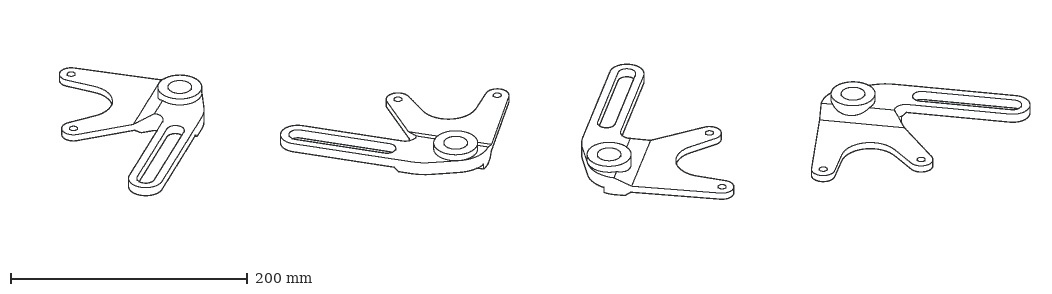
import cadquery as cq
import math


bore_radius = 10.0
boss_radius = 18.6
boss_top = 23.0

lug_circle_radius = 100.0
lug_spacing = 84.0
fork_direction = math.radians(200.0)
lug_radius = 10.0
lug_hole_radius = 3.4

notch_radius = 24.7
notch_distance = 81.65

arm_x = 15.0
arm_end_y = -134.28
arm_half_width = 14.6
slot_radius = 7.5
slot_length = 78.2
arm_right = arm_x + arm_half_width
arm_left = arm_x - arm_half_width

apex_x = -9.6
apex_y = -3.2
apex_radius = 28.8
shoulder_y = -30.0
shoulder_radius = 40.0
crotch_y = -46.9
crotch_radius = 10.0
crotch_end_radius = 5.0
crotch_blend_angle = math.radians(74.0)

fork_bottom = 3.75
fork_top = 10.0
arm_bottom = 8.75
arm_top = 17.0
hub_bottom = 5.0

top_ramp_start = -25.0
top_ramp_end = -10.0
bottom_ramp_start = -24.2
bottom_ramp_end = -19.4
pad_right = -1.0
arm_ramp_y = -41.8
arm_ramp_run = arm_bottom - hub_bottom

margin = 10.0
touch_tolerance = 1e-6


def polar(radius, angle):
    return (radius * math.cos(angle), radius * math.sin(angle))


def on_circle(circle, angle):
    """Point of a circle (x, y, signed radius) at an outward normal angle."""
    x, y, radius = circle
    dx, dy = polar(radius, angle)
    return (x + dx, y + dy)


def tangent_normal(first, second):
    """Angle of the outward normal of the tangent joining two circles, going clockwise."""
    dx = second[0] - first[0]
    dy = second[1] - first[1]
    distance = math.hypot(dx, dy)
    ratio = (first[2] - second[2]) / distance
    turn = math.asin(max(-1.0, min(1.0, ratio)))
    return math.atan2(dy, dx) - turn + math.pi / 2


def tangent_outline(circles):
    """Closed clockwise wire of arcs and tangent lines; negative radii are concave."""
    count = len(circles)
    normals = [tangent_normal(circles[i], circles[(i + 1) % count]) for i in range(count)]
    wire = cq.Workplane("XY").moveTo(*on_circle(circles[-1], normals[-1]))
    for i, circle in enumerate(circles):
        start = normals[i - 1]
        direction = 1 if circle[2] > 0 else -1
        sweep = direction * (start - normals[i]) % (2 * math.pi)
        middle = start - direction * sweep / 2
        tangent_start = on_circle(circles[i - 1], start)
        tangent_end = on_circle(circle, start)
        if math.dist(tangent_start, tangent_end) > touch_tolerance:
            wire = wire.lineTo(*tangent_end)
        wire = wire.threePointArc(on_circle(circle, middle), on_circle(circle, normals[i]))
    return wire.close()


half_fork_angle = math.asin(lug_spacing / 2 / lug_circle_radius)
upper_lug = polar(lug_circle_radius, fork_direction - half_fork_angle)
lower_lug = polar(lug_circle_radius, fork_direction + half_fork_angle)


def plan_blank():
    """The outline seen from above, as a block of full height up to the arm top."""
    crotch = (arm_left - crotch_radius, crotch_y, -crotch_radius)
    blend_x, blend_y = polar(crotch_radius - crotch_end_radius, crotch_blend_angle)
    crotch_end = (crotch[0] + blend_x, crotch[1] + blend_y, -crotch_end_radius)
    circles = [
        (*upper_lug, lug_radius),
        (apex_x, apex_y, apex_radius),
        (arm_right - shoulder_radius, shoulder_y, shoulder_radius),
        (arm_x, arm_end_y, arm_half_width),
        crotch,
        crotch_end,
        (*lower_lug, lug_radius),
        (*polar(notch_distance, fork_direction), -notch_radius),
    ]
    return tangent_outline(circles).extrude(arm_top)


def stepped_section():
    """The X-Z section: fork plate, ramps, bottom pad and raised hub, swept along Y."""
    left = upper_lug[0] - lug_radius - margin
    right = arm_right + margin
    front = arm_end_y - arm_half_width - margin
    back = apex_y + apex_radius + margin
    points = [
        (left, fork_bottom),
        (bottom_ramp_start, fork_bottom),
        (bottom_ramp_end, 0),
        (pad_right, 0),
        (pad_right, hub_bottom),
        (right, hub_bottom),
        (right, arm_top),
        (top_ramp_end, arm_top),
        (top_ramp_start, fork_top),
        (left, fork_top),
    ]
    section = cq.Workplane("XZ", origin=(0, back, 0)).polyline(points).close()
    return section.extrude(back - front)


def arm_relief():
    """Material below the arm, ending in a 45 degree ramp down to the hub."""
    front = arm_end_y - arm_half_width - margin
    points = [
        (arm_ramp_y, hub_bottom),
        (arm_ramp_y - arm_ramp_run, arm_bottom),
        (front, arm_bottom),
        (front, hub_bottom),
    ]
    section = cq.Workplane("YZ", origin=(pad_right, 0, 0)).polyline(points).close()
    return section.extrude(arm_right - pad_right + margin)


def boss():
    return (
        cq.Workplane("XY", origin=(0, 0, hub_bottom))
        .circle(boss_radius)
        .extrude(boss_top - hub_bottom)
    )


def cutouts():
    """Bore, lug holes and arm slot, all through."""
    bore = cq.Workplane("XY").circle(bore_radius).extrude(boss_top)
    lug_holes = (
        cq.Workplane("XY").pushPoints([upper_lug, lower_lug]).circle(lug_hole_radius).extrude(boss_top)
    )
    slot = (
        cq.Workplane("XY")
        .center(arm_x, arm_end_y + slot_length / 2)
        .slot2D(slot_length + 2 * slot_radius, 2 * slot_radius, 90)
        .extrude(boss_top)
    )
    return bore.union(lug_holes).union(slot)


plate = plan_blank().intersect(stepped_section()).cut(arm_relief())
result = plate.union(boss()).cut(cutouts())